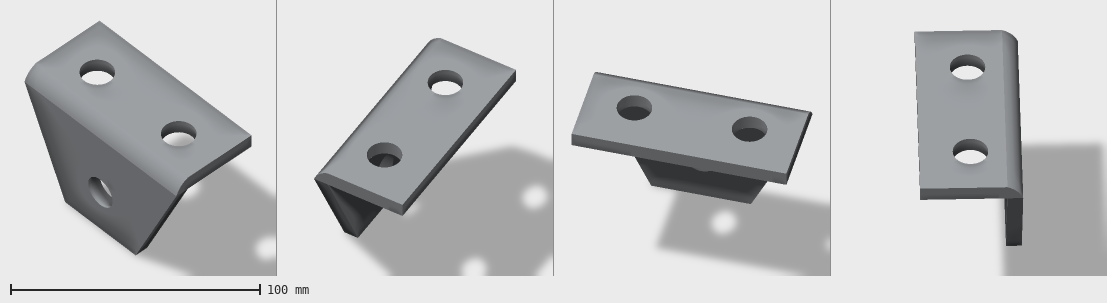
import cadquery as cq

length = 89.1
leg_width = 41.3
height = 57.3
thickness = 6.3
hole_diameter = 14.25
bend_radius = 10.5

edge_distance = leg_width / 2
hole_spacing = length - 2 * edge_distance
leg_top = height - thickness


def make_top_plate():
    """Flat flange whose front edge is rounded by a shallow arc."""
    return (
        cq.Workplane("YZ")
        .moveTo(0, leg_top)
        .lineTo(leg_width, leg_top)
        .lineTo(leg_width, height)
        .lineTo(thickness, height)
        .radiusArc((0, leg_top), -bend_radius)
        .close()
        .extrude(length / 2, both=True)
    )


def make_tapered_leg():
    """Upright leg narrowing from the full length to the leg width."""
    return (
        cq.Workplane("XZ")
        .polyline([
            (-length / 2, leg_top),
            (length / 2, leg_top),
            (leg_width / 2, 0),
            (-leg_width / 2, 0),
        ])
        .close()
        .extrude(-thickness)
    )


def make_flange_holes():
    """Cutters for the pair of vertical holes through the flange."""
    return (
        cq.Workplane("XY", origin=(0, 0, leg_top))
        .pushPoints([(side * hole_spacing / 2, edge_distance) for side in (-1, 1)])
        .circle(hole_diameter / 2)
        .extrude(thickness)
    )


def make_leg_hole():
    """Cutter for the single hole through the upright leg."""
    return (
        cq.Workplane("XZ")
        .center(0, edge_distance)
        .circle(hole_diameter / 2)
        .extrude(-thickness)
    )


bracket = make_top_plate().union(make_tapered_leg())
result = bracket.cut(make_flange_holes()).cut(make_leg_hole())